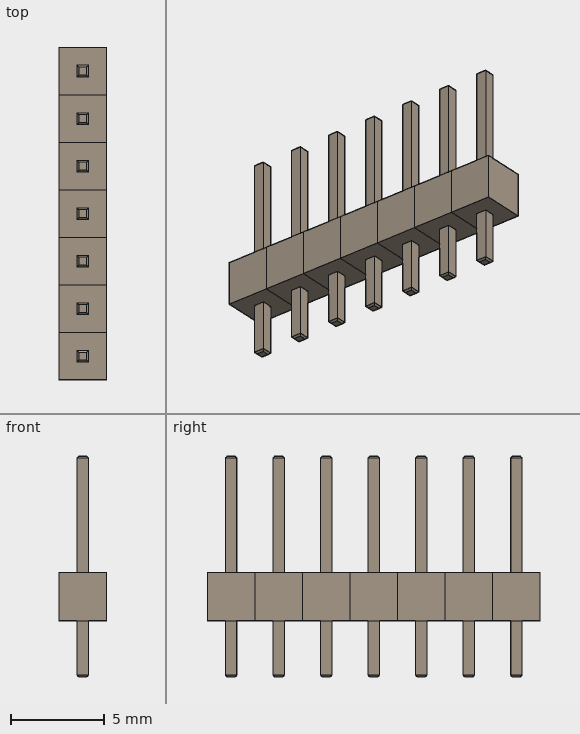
import cadquery as cq

row_length = 17.78
contact_count = 7
pitch = row_length / contact_count

block_width = 2.55
block_height = 2.6

pin_width = 0.62
pin_length = 11.8
pin_below_block = 3.0
tip_chamfer = 0.1


def make_block():
    """Insulator block standing on Z = 0, centred on the pin axis."""
    return cq.Workplane("XY").box(block_width, pitch, block_height, centered=(True, True, False))


def make_pin():
    """Square pin with all edges of both end faces chamfered."""
    return (
        cq.Workplane("XY")
        .workplane(offset=-pin_below_block)
        .rect(pin_width, pin_width)
        .extrude(pin_length)
        .faces("<Z or >Z")
        .chamfer(tip_chamfer)
    )


def make_contact(y_position):
    """One body: a block and its pin in one piece, placed along the row."""
    return make_block().union(make_pin()).translate((0, y_position, 0))


first_contact_y = -(row_length - pitch) / 2
contacts = [make_contact(first_contact_y + index * pitch) for index in range(contact_count)]

result = cq.Compound.makeCompound([contact.val() for contact in contacts])